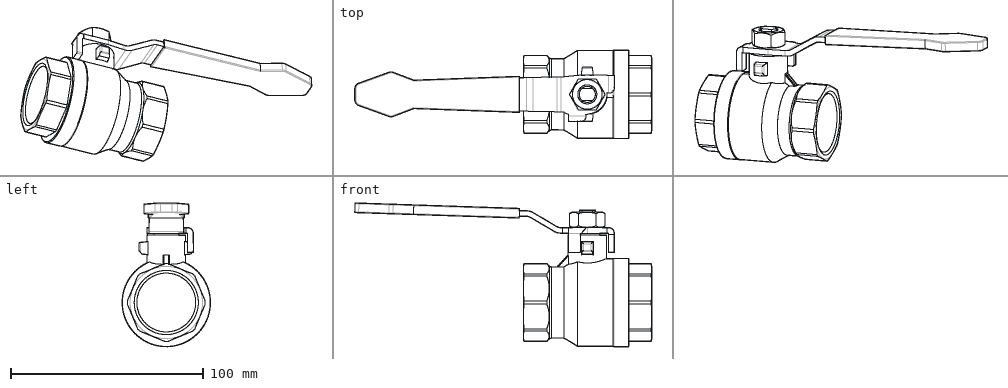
import cadquery as cq
import math


END_LEFT = -33.2
END_RIGHT = 33.5
OCTAGON_FLAT_RADIUS = 19.0
OCTAGON_CORNER_RADIUS = 20.2
LEFT_OCTAGON_SHOULDER = -21.0
LEFT_OCTAGON_END = -19.8
END_FACE_RADIUS = 18.9
END_FACE_DROP = 0.3

NECK_RADIUS = 18.5
NECK_START = -18.7
NECK_END = -12.2
BODY_RADIUS = 22.9
BODY_START = -5.1
FLANGE_RADIUS = 23.0
FLANGE_START = 13.9
FLANGE_END = 21.8
FLANGE_CHAMFER = 0.5

BORE_RADIUS = 15.3
BORE_DEPTH = 13.9
BORE_MOUTH_RADIUS = 16.7
BORE_MOUTH_DEPTH = 1.0

BONNET_RADIUS = 10.0
BONNET_TOP = 35.0
RIB_WIDTH = 3.4
RIB_FOOT_X = -15.8
RIB_TOP = 24.7
RIB_CHAMFER = 0.5
REAR_RIB_TOP = 22.9
ROOT_OVERLAP = 1.5
LUG_WIDTH = 6.5
LUG_BOTTOM = 24.7
LUG_TOP = 31.8
LUG_REACH = 14.2
LUG_DRAFT = 6
LUG_CHAMFER = 1.5
LUG_FILLET = 0.8

STRIP_THICKNESS = 3.0
PLATE_TOP = 39.0
PLATE_BOTTOM = PLATE_TOP - STRIP_THICKNESS
PLATE_RADIUS = 10.4
PLATE_SIDE = 10.0
PLATE_STEP_START = -12.8
STRIP_RISE = 8.8
STRIP_ANGLE = 30.5
LOWER_BEND_X = -14.8
STRIP_END_X = -37.1
STRIP_HALF_WIDTH_PLATE = 9.1
STRIP_HALF_WIDTH_GRIP = 8.7
BEND_INNER_RADIUS = 4.2

TAB_OUTER = 14.0
TAB_THICKNESS = 3.1
TAB_BOTTOM = 26.0
TAB_FAR_SIDE = -9.9
TAB_NEAR_SIDE = -3.5
TAB_ROOT_SIDE = -0.6
TAB_TAPER_END = 35.4
TAB_BEND_RADIUS = 3.0
TAB_CORNER_RADIUS = 0.6

GRIP_TIP_X = -120.8
GRIP_END_X = -35.2
GRIP_TOP = 49.0
GRIP_THICKNESS = 5.1
GRIP_TILT = 1.9
GRIP_TIP_HALF_WIDTH = 5.1
GRIP_WIDEST_X = -102.0
GRIP_WIDEST_HALF_WIDTH = 11.9
GRIP_WAIST_X = -90.2
GRIP_WAIST_HALF_WIDTH = 7.4
GRIP_END_HALF_WIDTH = 9.5
GRIP_CORNER_RADIUS = 3.1
GRIP_EDGE_FILLET = 0.5

GLAND_RADIUS = 6.5
NUT_ACROSS_FLATS = 16.0
NUT_TOP = 47.1
NUT_FACE_RADIUS = 7.7
NUT_CHAMFER_ANGLE = 30
NUT_MOUTH_RADIUS = 5.0
NUT_MOUTH_DEPTH = 0.8
STEM_RADIUS = 4.2
STEM_TOP = 48.0
STEM_FLAT_HALF_WIDTH = 3.1


def turned(profile):
    """Revolve (x, radius) points about the bore axis."""
    return cq.Workplane("XY").polyline(profile).close().revolve(360, (0, 0, 0), (1, 0, 0))


def octagon(x_start, x_end):
    """Octagonal bar along X, with corners on the Y and Z axes turned down to a round."""
    corner = OCTAGON_FLAT_RADIUS / math.cos(math.pi / 8)
    length = x_end - x_start
    bar = cq.Workplane("YZ", origin=(x_start, 0, 0)).polygon(8, 2 * corner).extrude(length)
    blank = cq.Workplane("YZ", origin=(x_start, 0, 0)).circle(OCTAGON_CORNER_RADIUS).extrude(length)
    return bar.intersect(blank)


def pipe_ends():
    """Octagons with slightly coned outer faces; the left one also tapers to the neck."""
    left_blank = turned([
        (END_LEFT, 0),
        (END_LEFT, END_FACE_RADIUS),
        (END_LEFT + END_FACE_DROP, OCTAGON_CORNER_RADIUS),
        (LEFT_OCTAGON_SHOULDER, OCTAGON_CORNER_RADIUS),
        (LEFT_OCTAGON_END, OCTAGON_FLAT_RADIUS),
        (LEFT_OCTAGON_END, 0),
    ])
    right_blank = turned([
        (FLANGE_END, 0),
        (FLANGE_END, OCTAGON_CORNER_RADIUS),
        (END_RIGHT - END_FACE_DROP, OCTAGON_CORNER_RADIUS),
        (END_RIGHT, END_FACE_RADIUS),
        (END_RIGHT, 0),
    ])
    left = octagon(END_LEFT, LEFT_OCTAGON_END).intersect(left_blank)
    right = octagon(FLANGE_END, END_RIGHT).intersect(right_blank)
    return left.union(right)


def round_body():
    return turned([
        (LEFT_OCTAGON_END, 0),
        (LEFT_OCTAGON_END, OCTAGON_FLAT_RADIUS),
        (NECK_START, NECK_RADIUS),
        (NECK_END, NECK_RADIUS),
        (BODY_START, BODY_RADIUS),
        (FLANGE_START - FLANGE_CHAMFER, BODY_RADIUS),
        (FLANGE_START, FLANGE_RADIUS),
        (FLANGE_END - FLANGE_CHAMFER, FLANGE_RADIUS),
        (FLANGE_END, FLANGE_RADIUS - FLANGE_CHAMFER),
        (FLANGE_END, 0),
    ])


def bore(mouth_x, inward):
    """Blind bore with a countersunk mouth; inward is +1 or -1 along X."""
    return turned([
        (mouth_x, 0),
        (mouth_x, BORE_MOUTH_RADIUS),
        (mouth_x + inward * BORE_MOUTH_DEPTH, BORE_RADIUS),
        (mouth_x + inward * BORE_DEPTH, BORE_RADIUS),
        (mouth_x + inward * BORE_DEPTH, 0),
    ])


def ribs():
    """Sloping rib on the neck side of the bonnet and a low flat one on the flange side."""
    sloping = (
        cq.Workplane("XZ")
        .polyline([
            (RIB_FOOT_X, NECK_RADIUS - ROOT_OVERLAP),
            (RIB_FOOT_X, NECK_RADIUS),
            (-BONNET_RADIUS, RIB_TOP),
            (0, RIB_TOP),
            (0, NECK_RADIUS - ROOT_OVERLAP),
        ])
        .close()
        .extrude(RIB_WIDTH / 2, both=True)
        .faces(cq.selectors.DirectionMinMaxSelector(cq.Vector(-1, 0, 1)))
        .edges("not |Y")
        .chamfer(RIB_CHAMFER)
    )
    flat = cq.Workplane("XY").box(FLANGE_START, RIB_WIDTH, REAR_RIB_TOP, centered=(False, True, False))
    return sloping.union(flat)


def stop_lug():
    """Drafted lug on the -Y side of the bonnet, bevelled underneath."""
    middle = (LUG_BOTTOM + LUG_TOP) / 2
    root = BONNET_RADIUS - ROOT_OVERLAP
    return (
        cq.Workplane("XZ", origin=(0, -root, middle))
        .rect(LUG_WIDTH, LUG_TOP - LUG_BOTTOM)
        .extrude(LUG_REACH - root, taper=LUG_DRAFT)
        .faces("<Y")
        .edges("<Z")
        .chamfer(LUG_CHAMFER)
        .faces("<Y")
        .edges()
        .fillet(LUG_FILLET)
    )


def lever_strip():
    """Bent strip from the plate up to the grip, trimmed to a slightly tapering width."""
    slope = math.radians(STRIP_ANGLE)
    upper_bend_x = LOWER_BEND_X - STRIP_RISE / math.tan(slope)
    bend_shift = STRIP_THICKNESS * math.tan(slope / 2)
    upper_top = PLATE_TOP + STRIP_RISE
    side = (
        cq.Workplane("XZ")
        .polyline([
            (0, PLATE_TOP),
            (LOWER_BEND_X, PLATE_TOP),
            (upper_bend_x, upper_top),
            (STRIP_END_X, upper_top),
            (STRIP_END_X, upper_top - STRIP_THICKNESS),
            (upper_bend_x - bend_shift, upper_top - STRIP_THICKNESS),
            (LOWER_BEND_X - bend_shift, PLATE_BOTTOM),
            (0, PLATE_BOTTOM),
        ])
        .close()
        .extrude(PLATE_RADIUS, both=True)
    )
    outer_radius = BEND_INNER_RADIUS + STRIP_THICKNESS
    bends = [
        (LOWER_BEND_X, PLATE_TOP, BEND_INNER_RADIUS),
        (LOWER_BEND_X - bend_shift, PLATE_BOTTOM, outer_radius),
        (upper_bend_x, upper_top, outer_radius),
        (upper_bend_x - bend_shift, upper_top - STRIP_THICKNESS, BEND_INNER_RADIUS),
    ]
    for x, z, radius in bends:
        side = side.edges(cq.selectors.NearestToPointSelector((x, 0, z))).fillet(radius)
    outline = (
        cq.Workplane("XY")
        .polyline([
            (STRIP_END_X, -STRIP_HALF_WIDTH_GRIP),
            (PLATE_STEP_START, -STRIP_HALF_WIDTH_PLATE),
            (0, -STRIP_HALF_WIDTH_PLATE),
            (0, PLATE_SIDE),
            (TAB_NEAR_SIDE, PLATE_SIDE),
            (PLATE_STEP_START, STRIP_HALF_WIDTH_PLATE),
            (STRIP_END_X, STRIP_HALF_WIDTH_GRIP),
        ])
        .close()
        .extrude(PLATE_TOP + STRIP_RISE)
    )
    return side.intersect(outline)


def lever_plate():
    """Rounded plate under the nut, squared off towards both stop tabs."""
    return (
        cq.Workplane("XY", origin=(0, 0, PLATE_BOTTOM))
        .moveTo(PLATE_STEP_START, -STRIP_HALF_WIDTH_PLATE)
        .lineTo(TAB_FAR_SIDE, -PLATE_RADIUS)
        .lineTo(0, -PLATE_RADIUS)
        .radiusArc((PLATE_RADIUS, 0), -PLATE_RADIUS)
        .lineTo(PLATE_RADIUS, PLATE_SIDE)
        .lineTo(TAB_NEAR_SIDE, PLATE_SIDE)
        .lineTo(PLATE_STEP_START, STRIP_HALF_WIDTH_PLATE)
        .close()
        .extrude(STRIP_THICKNESS)
    )


def stop_tab():
    """Tab bent down on the -Y side, narrowing from its root to its blade."""
    inner = TAB_OUTER - TAB_THICKNESS
    bent = (
        cq.Workplane("YZ", origin=(TAB_FAR_SIDE, 0, 0))
        .moveTo(0, PLATE_TOP)
        .lineTo(-TAB_OUTER + TAB_BEND_RADIUS, PLATE_TOP)
        .radiusArc((-TAB_OUTER, PLATE_TOP - TAB_BEND_RADIUS), -TAB_BEND_RADIUS)
        .lineTo(-TAB_OUTER, TAB_BOTTOM)
        .lineTo(-inner, TAB_BOTTOM)
        .lineTo(-inner, PLATE_BOTTOM)
        .lineTo(0, PLATE_BOTTOM)
        .close()
        .extrude(TAB_ROOT_SIDE - TAB_FAR_SIDE)
    )
    face = (
        cq.Workplane("XZ")
        .polyline([
            (TAB_FAR_SIDE, PLATE_TOP),
            (TAB_ROOT_SIDE, PLATE_TOP),
            (TAB_NEAR_SIDE, TAB_TAPER_END),
            (TAB_NEAR_SIDE, TAB_BOTTOM),
            (TAB_FAR_SIDE, TAB_BOTTOM),
        ])
        .close()
        .extrude(TAB_OUTER)
        .edges("|Y and <Z")
        .fillet(TAB_CORNER_RADIUS)
    )
    return bent.intersect(face)


def grip():
    """Arrow-ended sleeve, tilted up slightly towards its tip."""
    half_outline = [
        (GRIP_TIP_X, GRIP_TIP_HALF_WIDTH),
        (GRIP_WIDEST_X, GRIP_WIDEST_HALF_WIDTH),
        (GRIP_WAIST_X, GRIP_WAIST_HALF_WIDTH),
        (GRIP_END_X, GRIP_END_HALF_WIDTH),
    ]
    mirrored = [(x, -y) for x, y in reversed(half_outline)]
    sleeve = (
        cq.Workplane("XY", origin=(0, 0, GRIP_TOP - GRIP_THICKNESS))
        .polyline(half_outline + mirrored)
        .close()
        .extrude(GRIP_THICKNESS)
    )
    rounded_end = cq.selectors.BoxSelector(
        (2 * GRIP_TIP_X, -2 * GRIP_WIDEST_HALF_WIDTH, 0),
        ((GRIP_WIDEST_X + GRIP_WAIST_X) / 2, 2 * GRIP_WIDEST_HALF_WIDTH, GRIP_TOP),
    )
    sleeve = sleeve.edges("|Z").edges(rounded_end).fillet(GRIP_CORNER_RADIUS)
    sleeve = sleeve.faces("|Z").edges().fillet(GRIP_EDGE_FILLET)
    pivot = (GRIP_END_X, 0, GRIP_TOP)
    return sleeve.rotate(pivot, (GRIP_END_X, 1, GRIP_TOP), GRIP_TILT)


def nut():
    """Hexagon nut with both faces chamfered and a countersunk top."""
    corner = NUT_ACROSS_FLATS / 2 / math.cos(math.pi / 6)
    drop = (corner - NUT_FACE_RADIUS) * math.tan(math.radians(NUT_CHAMFER_ANGLE))
    height = NUT_TOP - PLATE_TOP
    hexagon = cq.Workplane("XY", origin=(0, 0, PLATE_TOP)).polygon(6, 2 * corner).extrude(height)
    blank = (
        cq.Workplane("XZ")
        .polyline([
            (0, PLATE_TOP),
            (NUT_FACE_RADIUS, PLATE_TOP),
            (corner, PLATE_TOP + drop),
            (corner, NUT_TOP - drop),
            (NUT_FACE_RADIUS, NUT_TOP),
            (NUT_MOUTH_RADIUS, NUT_TOP),
            (STEM_RADIUS, NUT_TOP - NUT_MOUTH_DEPTH),
            (0, NUT_TOP - NUT_MOUTH_DEPTH),
        ])
        .close()
        .revolve(360, (0, 0, 0), (0, 1, 0))
    )
    return hexagon.intersect(blank)


def stem():
    """Gland under the lever plate, and the stem tip with two flats above the nut."""
    gland = cq.Workplane("XY").circle(GLAND_RADIUS).extrude(PLATE_TOP)
    flats = cq.Workplane("XY").rect(2 * STEM_RADIUS, 2 * STEM_FLAT_HALF_WIDTH).extrude(STEM_TOP)
    tip = cq.Workplane("XY").circle(STEM_RADIUS).extrude(STEM_TOP).intersect(flats)
    return gland.union(tip)


bonnet = cq.Workplane("XY").circle(BONNET_RADIUS).extrude(BONNET_TOP)
valve = pipe_ends().union(round_body()).union(bonnet).union(ribs())
lug = stop_lug()
valve = valve.union(lug).union(lug.mirror("XZ"))
valve = valve.cut(bore(END_LEFT, 1))
valve = valve.cut(bore(END_RIGHT, -1))

side_tab = stop_tab()
end_tab = side_tab.mirror("XZ").rotate((0, 0, 0), (0, 0, 1), -90)
lever = lever_plate().union(lever_strip()).union(side_tab).union(end_tab).union(grip())

result = valve.union(stem()).union(lever).union(nut())